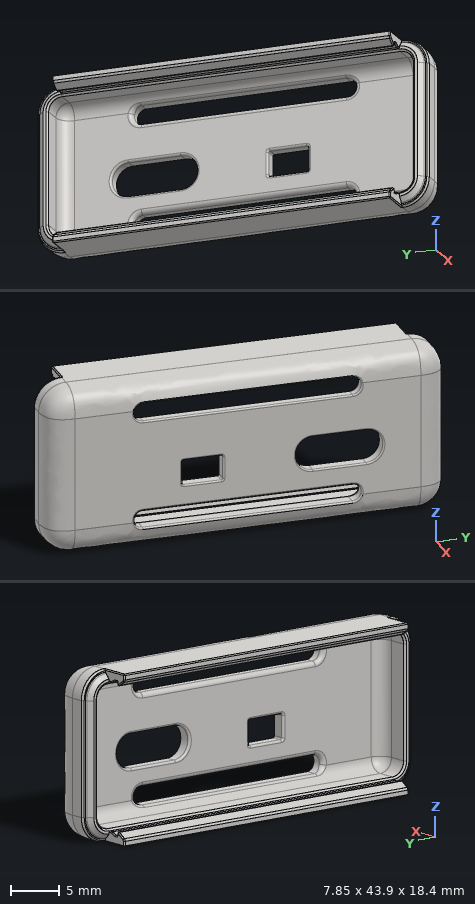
import cadquery as cq
import math

DEPTH = 7.85
LENGTH = 43.85
HEIGHT = 18.4

WALL = 1.5
FLOOR = 1.6
OUTER_RADIUS = 3.0
BACK_EDGE_FULLNESS = 0.68
INNER_RADIUS = OUTER_RADIUS - WALL

SHOULDER_X = 3.15
SHOULDER_BEVEL_DEPTH = 0.25
SHOULDER_BEVEL_WIDTH = 0.18
LIP_X = 2.55
LIP_FOOT_X = 3.03
LIP_FOOT_INSET = 0.33
LIP_ROOT_INSET = 0.45
LIP_TIP_INSET = 0.95
LIP_INNER_BEVEL = 0.2

RAIL_LENGTH = LENGTH - 2 * OUTER_RADIUS
RAIL_THICKNESS = WALL - LIP_INNER_BEVEL
RAIL_EDGE_BEVEL = 0.15
RAIL_TIP_THICKNESS = 0.6
RAIL_NOSE_X = 0.15
RAIL_NOSE_THICKNESS = 0.88
HOOK_START_X = 0.95
HOOK_END_X = 1.15
HOOK_THICKNESS = 1.4
GROOVE_START_X = 1.25
GROOVE_END_X = 1.55
GROOVE_THICKNESS = 1.0
RAMP_END_X = 2.05

SLOT_LENGTH = 24.9
SLOT_WIDTH = 1.95
SLOT_Z = 5.95
SLOT_ROUNDING = 0.53
OVAL_LENGTH = 9.55
OVAL_WIDTH = 3.7
OVAL_Y = 10.05
OVAL_Z = -0.95
WINDOW_LENGTH = 4.47
WINDOW_HEIGHT = 2.75
WINDOW_CORNER = 0.18
WINDOW_Y = -4.95
WINDOW_Z = -1.3
HOLE_ROUNDING = 0.25
BACK_ROUNDING = 0.18
EDGE_MARGIN = 0.02


def edge_profile(plane, origin):
    """Section of the outer border, drawn outwards from the axis of a corner."""
    curve_start_x = DEPTH - OUTER_RADIUS
    handle = BACK_EDGE_FULLNESS * OUTER_RADIUS
    return (
        cq.Workplane(plane, origin=origin)
        .moveTo(SHOULDER_X, 0)
        .lineTo(SHOULDER_X, OUTER_RADIUS - SHOULDER_BEVEL_WIDTH)
        .lineTo(SHOULDER_X + SHOULDER_BEVEL_DEPTH, OUTER_RADIUS)
        .lineTo(curve_start_x, OUTER_RADIUS)
        .bezier(
            [
                (curve_start_x, OUTER_RADIUS),
                (curve_start_x + handle, OUTER_RADIUS),
                (DEPTH, handle),
                (DEPTH, 0),
            ]
        )
        .close()
    )


def make_body():
    """Solid outer block: a plain core framed by straight borders and turned corners."""
    core_length = LENGTH - 2 * OUTER_RADIUS
    core_height = HEIGHT - 2 * OUTER_RADIUS
    corner_y = core_length / 2
    corner_z = core_height / 2
    core = cq.Workplane("YZ", origin=(SHOULDER_X, 0, 0)).rect(core_length, core_height)
    body = core.extrude(DEPTH - SHOULDER_X)
    long_border = edge_profile("XZ", (0, corner_y, corner_z)).extrude(core_length)
    short_border = edge_profile("XY", (0, corner_y, -corner_z)).extrude(core_height)
    body = body.union(long_border).union(long_border.mirror("XY"))
    body = body.union(short_border).union(short_border.mirror("XZ"))
    for y in (corner_y, -corner_y):
        for z in (corner_z, -corner_z):
            corner = edge_profile("XZ", (0, y, z)).revolve(360, (0, 0), (1, 0))
            body = body.union(corner)
    return body.clean()


def make_cavity():
    """Space inside the walls, rounded along its corners and around its floor."""
    outline = cq.Workplane("YZ", origin=(LIP_X, 0, 0)).rect(LENGTH - 2 * WALL, HEIGHT - 2 * WALL)
    cavity = outline.extrude(DEPTH - FLOOR - LIP_X).edges("|X").fillet(INNER_RADIUS)
    return cavity.faces(">X").edges().fillet(INNER_RADIUS)


def tapered_block(wide_inset, narrow_inset, wide_x, narrow_x):
    """Rounded block whose sides slope evenly from its wide end to its narrow end."""
    taper = math.degrees(math.atan((narrow_inset - wide_inset) / abs(narrow_x - wide_x)))
    outline = cq.Sketch().rect(LENGTH - 2 * wide_inset, HEIGHT - 2 * wide_inset)
    outline = outline.vertices().fillet(OUTER_RADIUS - wide_inset)
    block = cq.Workplane("YZ", origin=(wide_x, 0, 0)).placeSketch(outline)
    return block.extrude(narrow_x - wide_x, taper=taper)


def make_rail():
    """Snap rail on the +Z side; its section is extruded along Y."""
    top = HEIGHT / 2
    root_x = SHOULDER_X + SHOULDER_BEVEL_DEPTH
    rail = (
        cq.Workplane("XZ", origin=(0, RAIL_LENGTH / 2, 0))
        .moveTo(0, top)
        .lineTo(0, top - RAIL_TIP_THICKNESS)
        .lineTo(RAIL_NOSE_X, top - RAIL_NOSE_THICKNESS)
        .lineTo(HOOK_START_X, top - HOOK_THICKNESS)
        .lineTo(HOOK_END_X, top - HOOK_THICKNESS)
        .lineTo(GROOVE_START_X, top - GROOVE_THICKNESS)
        .lineTo(GROOVE_END_X, top - GROOVE_THICKNESS)
        .lineTo(RAMP_END_X, top - RAIL_THICKNESS)
        .lineTo(root_x, top - RAIL_THICKNESS)
        .lineTo(root_x, top)
        .close()
        .extrude(RAIL_LENGTH)
    )
    rail = rail.faces("<Y or >Y").edges("not >X").chamfer(RAIL_EDGE_BEVEL)
    return rail.faces(">Z").edges("<X").chamfer(RAIL_EDGE_BEVEL)


def cut_opening(shell, cutter, front_rounding):
    """Cut an opening through the back wall and round its edges on both sides."""
    shell = shell.cut(cutter)
    box = cutter.val().BoundingBox()
    middle_x = DEPTH - FLOOR / 2
    along_x = cq.selectors.ParallelDirSelector(cq.Vector(1, 0, 0))
    for start_x, end_x, rounding in (
        (SHOULDER_X, middle_x, front_rounding),
        (middle_x, DEPTH + EDGE_MARGIN, BACK_ROUNDING),
    ):
        near_rim = cq.selectors.BoxSelector(
            (start_x, box.ymin - EDGE_MARGIN, box.zmin - EDGE_MARGIN),
            (end_x, box.ymax + EDGE_MARGIN, box.zmax + EDGE_MARGIN),
            boundingbox=True,
        )
        shell = shell.edges(near_rim - along_x).fillet(rounding)
    return shell


def back_plane(y, z):
    """Workplane inside the cavity, facing the back wall."""
    return cq.Workplane("YZ", origin=(SHOULDER_X, y, z))


lip_foot = tapered_block(LIP_FOOT_INSET, LIP_ROOT_INSET, SHOULDER_X, LIP_FOOT_X)
lip = tapered_block(LIP_ROOT_INSET, LIP_TIP_INSET, LIP_FOOT_X, LIP_X)
mouth = tapered_block(WALL - LIP_INNER_BEVEL, WALL, LIP_X, LIP_X + LIP_INNER_BEVEL)
shell = make_body().union(lip_foot).union(lip).cut(make_cavity())

for side in (1, -1):
    slot = back_plane(0, side * SLOT_Z).slot2D(SLOT_LENGTH, SLOT_WIDTH).extrude(DEPTH)
    shell = cut_opening(shell, slot, SLOT_ROUNDING)
oval = back_plane(OVAL_Y, OVAL_Z).slot2D(OVAL_LENGTH, OVAL_WIDTH).extrude(DEPTH)
shell = cut_opening(shell, oval, HOLE_ROUNDING)
window = back_plane(WINDOW_Y, WINDOW_Z).rect(WINDOW_LENGTH, WINDOW_HEIGHT).extrude(DEPTH)
window = window.edges("|X").fillet(WINDOW_CORNER)
shell = cut_opening(shell, window, HOLE_ROUNDING)

rail = make_rail()
shell = shell.union(rail).union(rail.mirror("XY"))
result = shell.cut(mouth)